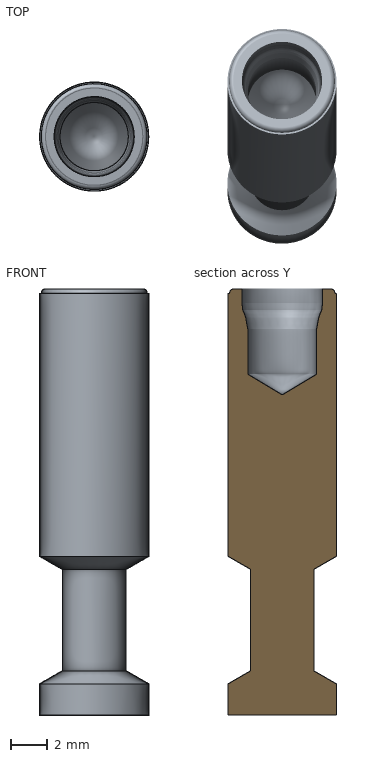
import cadquery as cq
import math

total_height = 23.4
body_radius = 3.0

foot_height = 1.73
neck_radius = 1.75
neck_taper_angle = 30.0
body_bottom = 8.73
rim_radius = 2.9
rim_height = 0.25
rim_fillet = 0.23

entry_radius = 2.2
entry_depth = 0.8
lead_radius = 2.15
lead_depth = 1.17
middle_radius = 2.05
middle_depth = 1.38
throat_radius = 2.0
throat_depth = 1.6
inner_radius = 1.87
inner_top_depth = 2.22
inner_bottom_depth = 4.68
drill_point_angle = 118.0

taper_height = (body_radius - neck_radius) * math.tan(math.radians(neck_taper_angle))
drill_point_height = inner_radius / math.tan(math.radians(drill_point_angle / 2))


def revolve_profile(points):
    """Revolve (radius, height) points around the Z axis."""
    return cq.Workplane("XZ").polyline(points).close().revolve(360, (0, 0, 0), (0, 1, 0))


pin = revolve_profile([
    (0, 0),
    (body_radius, 0),
    (body_radius, foot_height),
    (neck_radius, foot_height + taper_height),
    (neck_radius, body_bottom - taper_height),
    (body_radius, body_bottom),
    (body_radius, total_height - rim_height),
    (rim_radius, total_height - rim_height),
    (rim_radius, total_height),
    (0, total_height),
])
pin = pin.faces(">Z").edges().fillet(rim_fillet)

bore = revolve_profile([
    (0, total_height),
    (entry_radius, total_height),
    (entry_radius, total_height - entry_depth),
    (lead_radius, total_height - lead_depth),
    (middle_radius, total_height - middle_depth),
    (throat_radius, total_height - throat_depth),
    (inner_radius, total_height - inner_top_depth),
    (inner_radius, total_height - inner_bottom_depth),
    (0, total_height - inner_bottom_depth - drill_point_height),
])

result = pin.cut(bore)